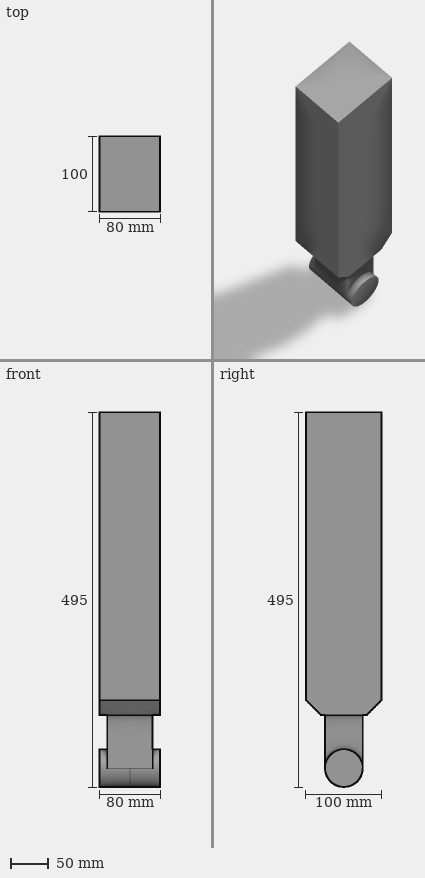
import cadquery as cq

body_width = 80.0
body_depth = 100.0
total_height = 495.0
body_height = 400.0
bevel = 20.0

bar_diameter = 50.0
bar_length = body_width
neck_width = 60.0
neck_depth = bar_diameter

bar_axis_z = bar_diameter / 2
body_bottom_z = total_height - body_height


def make_body():
    block = cq.Workplane("XY").workplane(offset=body_bottom_z).rect(body_width, body_depth).extrude(body_height)
    return block.faces("<Z").edges("|X").chamfer(bevel)


def make_neck():
    neck_height = body_bottom_z - bar_axis_z
    return cq.Workplane("XY").workplane(offset=bar_axis_z).rect(neck_width, neck_depth).extrude(neck_height)


def make_bar():
    return cq.Workplane("YZ").center(0, bar_axis_z).circle(bar_diameter / 2).extrude(bar_length / 2, both=True)


result = make_body().union(make_neck()).union(make_bar())